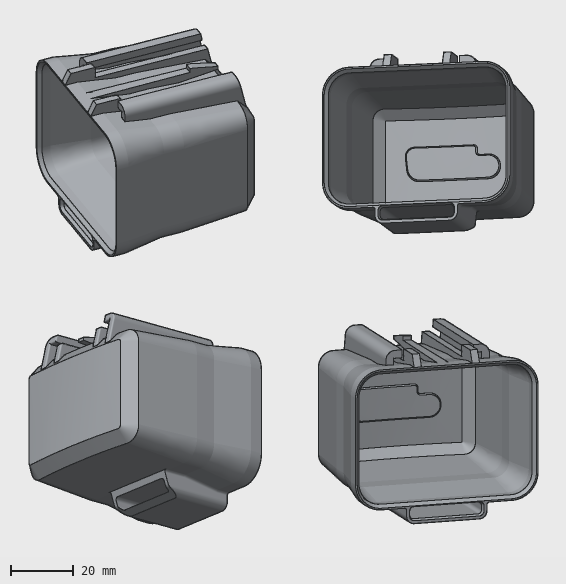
import cadquery as cq
import math


MOUTH_WIDTH = 61.4
MOUTH_HEIGHT = 45.7
MOUTH_OFFSET = 8.7
CORE_WIDTH = MOUTH_WIDTH - 2 * MOUTH_OFFSET
CORE_HEIGHT = MOUTH_HEIGHT - 2 * MOUTH_OFFSET
COLLAR_TOP = MOUTH_HEIGHT / 2

LIP_DEPTH = 1.3
COLLAR_END = 4.3
WAIST_START = 17.7
WAIST_END = 24.75
LENGTH = 52.9

WALL = 1.6
WAIST_OFFSET = 6.65
BACK_DRAFT = math.radians(3.9)
BACK_OFFSET = WAIST_OFFSET - (LENGTH - WAIST_END) * math.tan(BACK_DRAFT)
LIP_THICKNESS = 0.55

DOME_RADIUS = 233.3
OUTER_BEVEL = 3.8
INNER_BEVEL = 3.1

RAIL_RISE = 3.9
RAIL_TOP = COLLAR_TOP + RAIL_RISE
RAIL_ROOT = 14.75
RAIL_BACK_LEAN = math.radians(13)
RAIL_BACK_TOP_Y = 49.2
RAIL_BACK_ROUND = 0.5
HOOK_OUTER_X = 17.4
HOOK_INNER_X = 12.0
HOOK_THICKNESS = 2.6
HOOK_RADIUS = 3.0
HOOK_FRONT = 9.1
PLAIN_RAIL_X = 9.75
PLAIN_RAIL_WIDTH = 2.45
PLAIN_RAIL_LOW = COLLAR_TOP
STOP_TOP_FRONT = 2.0
STOP_BACK = 10.55
STOP_ROUND = 0.5

LATCH_FRONT_WIDTH = 3.6
LATCH_BACK_WIDTH = 2.45
LATCH_BACK = 49.1
LATCH_STEP = 39.25
LATCH_PEAK_Y = 40.35
LATCH_PEAK = 24.2
LATCH_BACK_TOP = 22.3
LATCH_TIP_BOTTOM = 21.25
LATCH_FREE_START = 35.0
LATCH_FREE_BOTTOM = 20.0

LOOP_WIDTH = 27.0
LOOP_BOTTOM = -28.1
LOOP_ROOT = -20.25
LOOP_CORNER = 2.6
LOOP_BOTTOM_BACK = 19.4
LOOP_KNEE_Y = 24.1
LOOP_KNEE_Z = -25.8
LOOP_ROOT_BACK = 26.1
LOOP_BACK_ROUND = 1.85
LOOP_ROOT_FILLET = 0.8
SLOT_WIDTH = 24.2
SLOT_TOP = -22.85
SLOT_BOTTOM = -26.7
SLOT_CORNER = 1.2
SLOT_BEVEL = 0.4
SLOT_BEVEL_DEPTH = 1.2

PAD_HEIGHT = 0.5
PAD_BEVEL = 0.4
PAD_BLANK = 6.15
PAD_CORNERS = [
    (-16.3, 5.6, 3.1),
    (7.6, 5.6, 1.2),
    (7.6, 2.35, 0.9),
    (15.3, 2.35, 3.9),
    (15.3, -5.65, 3.9),
    (-15.0, -5.65, 4.3),
]


def across(y):
    """Workplane at depth y whose local axes are X and Z; a negative extrusion runs towards +Y."""
    return cq.Workplane("XZ", origin=(0, y, 0))


def rounded_rectangle(width, height, radius):
    return cq.Sketch().rect(width, height).vertices().fillet(radius)


def grown_section(offset):
    """Core rectangle grown by the offset, with corners of the same radius."""
    return rounded_rectangle(CORE_WIDTH + 2 * offset, CORE_HEIGHT + 2 * offset, offset)


def tube(stations):
    """Solid through (y, offset) stations of the rounded cross-section, straight between them."""
    solid = None
    for (y0, offset0), (y1, offset1) in zip(stations, stations[1:]):
        ahead = cq.Location(cq.Vector(0, 0, y0 - y1))
        sections = grown_section(offset0), grown_section(offset1).moved(ahead)
        part = across(y0).placeSketch(*sections).loft(ruled=True)
        solid = part if solid is None else solid.union(part)
    return solid


def dome(apex, radius):
    """Large cylinder about a Z axis, whose +Y side crowns at the apex."""
    return (
        cq.Workplane("XY", origin=(0, apex - radius, -MOUTH_HEIGHT))
        .circle(radius)
        .extrude(2 * MOUTH_HEIGHT)
    )


def outer_body():
    body = tube([
        (0, MOUTH_OFFSET),
        (COLLAR_END, MOUTH_OFFSET),
        (WAIST_START, WAIST_OFFSET),
        (WAIST_END, WAIST_OFFSET),
        (LENGTH, BACK_OFFSET),
    ])
    return body.intersect(dome(LENGTH, DOME_RADIUS)).faces(">Y").chamfer(OUTER_BEVEL)


def cavity():
    lip = MOUTH_OFFSET - LIP_THICKNESS
    space = tube([
        (0, lip),
        (LIP_DEPTH, MOUTH_OFFSET - WALL),
        (COLLAR_END, MOUTH_OFFSET - WALL),
        (WAIST_START, WAIST_OFFSET - WALL),
        (WAIST_END, WAIST_OFFSET - WALL),
        (LENGTH, BACK_OFFSET - WALL),
    ])
    floor = dome(LENGTH - WALL, DOME_RADIUS - WALL)
    return space.intersect(floor).faces(">Y").chamfer(INNER_BEVEL)


def side_profile(points, half_width):
    """Prism of a Y-Z outline, centred on X = 0."""
    return cq.Workplane("YZ").polyline(points).close().extrude(half_width, both=True)


def rail_back(z):
    """Y of the leaning back ends of the rails at height z."""
    return RAIL_BACK_TOP_Y + (RAIL_TOP - z) * math.tan(RAIL_BACK_LEAN)


def round_back(rail):
    return rail.faces(">Y").edges("not <Z").fillet(RAIL_BACK_ROUND)


def hook_rail():
    """Rail on the +X side with an overhang pointing towards the middle."""
    leg_x = HOOK_OUTER_X - HOOK_THICKNESS
    section = (
        across(HOOK_FRONT)
        .moveTo(leg_x, RAIL_ROOT)
        .lineTo(leg_x, RAIL_TOP - HOOK_THICKNESS)
        .lineTo(HOOK_INNER_X, RAIL_TOP - HOOK_THICKNESS)
        .lineTo(HOOK_INNER_X, RAIL_TOP)
        .lineTo(HOOK_OUTER_X - HOOK_RADIUS, RAIL_TOP)
        .tangentArcPoint((HOOK_OUTER_X, RAIL_TOP - HOOK_RADIUS), relative=False)
        .lineTo(HOOK_OUTER_X, RAIL_ROOT)
        .close()
        .extrude(-LENGTH)
    )
    side = side_profile(
        [
            (HOOK_FRONT, RAIL_ROOT),
            (HOOK_FRONT, RAIL_TOP),
            (rail_back(RAIL_TOP), RAIL_TOP),
            (rail_back(RAIL_ROOT), RAIL_ROOT),
        ],
        MOUTH_WIDTH / 2,
    )
    return round_back(section.intersect(side))


def plain_rail():
    """Low straight rail on the +X side with a taller stop at its front."""
    low = side_profile(
        [
            (STOP_TOP_FRONT, RAIL_ROOT),
            (STOP_TOP_FRONT, PLAIN_RAIL_LOW),
            (rail_back(PLAIN_RAIL_LOW), PLAIN_RAIL_LOW),
            (rail_back(RAIL_ROOT), RAIL_ROOT),
        ],
        PLAIN_RAIL_WIDTH / 2,
    )
    stop = side_profile(
        [
            (0, RAIL_ROOT),
            (0, COLLAR_TOP),
            (STOP_TOP_FRONT, RAIL_TOP),
            (STOP_BACK, RAIL_TOP),
            (STOP_BACK, RAIL_ROOT),
        ],
        PLAIN_RAIL_WIDTH / 2,
    )
    stop = stop.faces(">Z").edges(">Y").fillet(STOP_ROUND)
    return round_back(low).union(stop).translate((PLAIN_RAIL_X, 0, 0))


def latch_rib():
    """Central rib that widens forwards and ends in a catch lifted clear of the body."""
    plan = (
        cq.Workplane("XY")
        .polyline([
            (-LATCH_FRONT_WIDTH / 2, COLLAR_END),
            (LATCH_FRONT_WIDTH / 2, COLLAR_END),
            (LATCH_BACK_WIDTH / 2, LATCH_BACK),
            (-LATCH_BACK_WIDTH / 2, LATCH_BACK),
        ])
        .close()
        .extrude(RAIL_TOP)
    )
    side = side_profile(
        [
            (COLLAR_END, RAIL_ROOT),
            (COLLAR_END, COLLAR_TOP),
            (LATCH_STEP, COLLAR_TOP),
            (LATCH_STEP, LATCH_PEAK),
            (LATCH_PEAK_Y, LATCH_PEAK),
            (LATCH_BACK, LATCH_BACK_TOP),
            (LATCH_BACK, LATCH_TIP_BOTTOM),
            (LATCH_FREE_START, LATCH_FREE_BOTTOM),
            (LATCH_FREE_START, RAIL_ROOT),
        ],
        LATCH_FRONT_WIDTH,
    )
    return plan.intersect(side)


def strap_loop():
    """Block under the mouth, rounded along its lower sides and swept up at the back."""
    block = side_profile(
        [
            (0, LOOP_ROOT),
            (0, LOOP_BOTTOM),
            (LOOP_BOTTOM_BACK, LOOP_BOTTOM),
            (LOOP_KNEE_Y, LOOP_KNEE_Z),
            (LOOP_ROOT_BACK, LOOP_ROOT),
        ],
        LOOP_WIDTH / 2,
    )
    knee = cq.selectors.NearestToPointSelector((0, LOOP_KNEE_Y, LOOP_KNEE_Z))
    rounded_sides = (
        across(0)
        .rect(LOOP_WIDTH, -2 * LOOP_BOTTOM)
        .extrude(-LENGTH)
        .edges("|Y")
        .fillet(LOOP_CORNER)
    )
    return block.edges(knee).fillet(LOOP_BACK_ROUND).intersect(rounded_sides)


def strap_slot():
    """Slot through the loop along Y with a flared front edge."""
    height = SLOT_TOP - SLOT_BOTTOM
    centre_z = (SLOT_TOP + SLOT_BOTTOM) / 2
    straight = rounded_rectangle(SLOT_WIDTH, height, SLOT_CORNER)
    flared = rounded_rectangle(
        SLOT_WIDTH + 2 * SLOT_BEVEL, height + 2 * SLOT_BEVEL, SLOT_CORNER + SLOT_BEVEL
    )
    at_depth = cq.Location(cq.Vector(0, 0, -SLOT_BEVEL_DEPTH))
    flare = across(0).placeSketch(flared, straight.moved(at_depth)).loft(ruled=True)
    passage = across(0).placeSketch(straight).extrude(-LENGTH)
    return flare.union(passage).translate((0, 0, centre_z))


def label_pad():
    """Raised pad that follows the domed inner floor."""
    back = LENGTH - WALL / 2
    front = back - PAD_BLANK
    pad = (
        across(front)
        .polyline([(x, z) for x, z, _ in PAD_CORNERS])
        .close()
        .extrude(front - back)
    )
    for x, z, radius in PAD_CORNERS:
        corner = cq.selectors.NearestToPointSelector((x, (front + back) / 2, z))
        pad = pad.edges("|Y").edges(corner).fillet(radius)
    inset = WALL + PAD_HEIGHT
    pad = pad.cut(dome(LENGTH - inset, DOME_RADIUS - inset))
    return pad.faces("<Y").chamfer(PAD_BEVEL)


def fillet_loop_root(body):
    """Blend the sides of the loop into the underside of the body."""
    half = LOOP_WIDTH / 2
    margin = 0.05
    for x in (-half, half):
        side_edges = cq.selectors.BoxSelector(
            (x - margin, -margin, -COLLAR_TOP - margin),
            (x + margin, LOOP_ROOT_BACK, LOOP_ROOT),
            boundingbox=True,
        )
        body = body.edges(side_edges).fillet(LOOP_ROOT_FILLET)
    return body


shell = fillet_loop_root(outer_body().union(strap_loop()))
for rail in (hook_rail(), plain_rail()):
    shell = shell.union(rail).union(rail.mirror("YZ"))
shell = shell.union(latch_rib())

result = shell.cut(cavity()).cut(strap_slot()).union(label_pad())